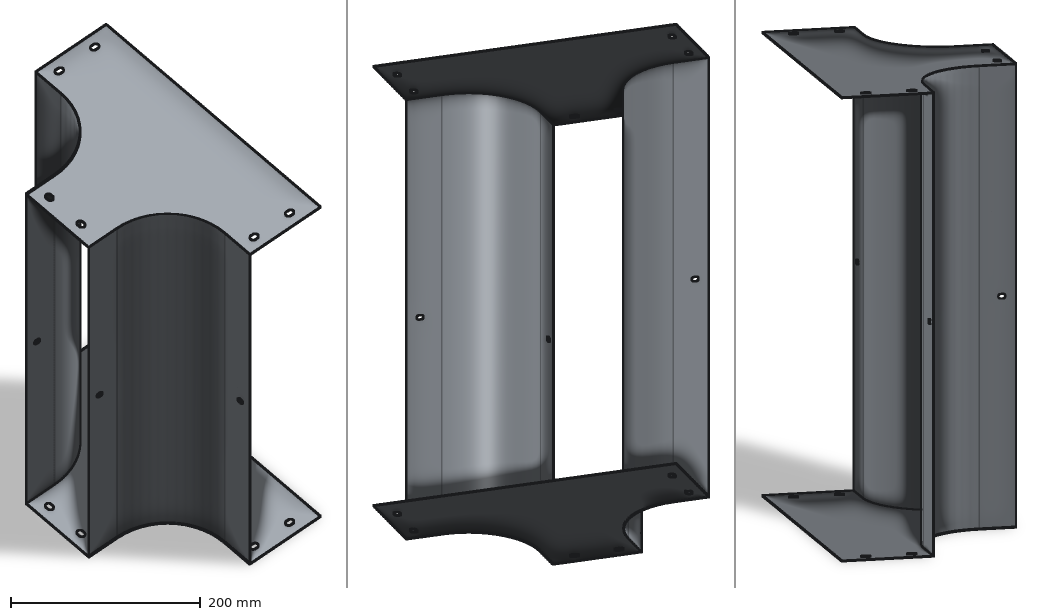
import cadquery as cq

height = 500.0
channel_width = 100.0
bend_radius = 80.0
straight_length = 40.0
thickness = 1.0

plate_slot_width = 7.0
plate_slot_length = 10.0
plate_slot_spacing = 50.0
plate_slot_shift = 5.0

wall_slot_width = 5.0
wall_slot_length = 7.5

end_distance = 15.5

half_stem = channel_width / 2
half_length = half_stem + bend_radius + straight_length
arm_front = -channel_width
stem_end = arm_front - bend_radius - straight_length
bend_x = half_stem + bend_radius
bend_y = arm_front - bend_radius
slot_x = half_length - end_distance
slot_y = stem_end + end_distance


def make_plate(bottom_z):
    """T-shaped plate with concave round corners."""
    profile = (
        cq.Workplane("XY", origin=(0, 0, bottom_z))
        .moveTo(-half_length, 0)
        .lineTo(half_length, 0)
        .lineTo(half_length, arm_front)
        .lineTo(bend_x, arm_front)
        .radiusArc((half_stem, bend_y), -bend_radius)
        .lineTo(half_stem, stem_end)
        .lineTo(-half_stem, stem_end)
        .lineTo(-half_stem, bend_y)
        .radiusArc((-bend_x, arm_front), -bend_radius)
        .lineTo(-half_length, arm_front)
        .close()
    )
    return profile.extrude(thickness)


def make_wall(side):
    """Full-height curved wall; side is +1 for the +X wall and -1 for the -X wall."""
    inner_radius = bend_radius + thickness
    profile = (
        cq.Workplane("XY")
        .moveTo(side * half_length, arm_front)
        .lineTo(side * bend_x, arm_front)
        .radiusArc((side * half_stem, bend_y), -side * bend_radius)
        .lineTo(side * half_stem, stem_end)
        .lineTo(side * (half_stem - thickness), stem_end)
        .lineTo(side * (half_stem - thickness), bend_y)
        .radiusArc((side * bend_x, arm_front + thickness), side * inner_radius)
        .lineTo(side * half_length, arm_front + thickness)
        .close()
    )
    return profile.extrude(height)


def make_plate_slots():
    """Cutters through both plates: a pair at each of the three open ends."""
    arm_centre = arm_front / 2 - plate_slot_shift
    half_spacing = plate_slot_spacing / 2
    arm_points = [
        (x, arm_centre + offset)
        for x in (-slot_x, slot_x)
        for offset in (-half_spacing, half_spacing)
    ]
    stem_points = [(offset - plate_slot_shift, slot_y) for offset in (-half_spacing, half_spacing)]
    arm_slots = (
        cq.Workplane("XY")
        .pushPoints(arm_points)
        .slot2D(plate_slot_length, plate_slot_width, 90)
        .extrude(height)
    )
    stem_slots = (
        cq.Workplane("XY")
        .pushPoints(stem_points)
        .slot2D(plate_slot_length, plate_slot_width)
        .extrude(height)
    )
    return arm_slots.union(stem_slots)


def make_wall_slots():
    """Cutters at mid height through the flat walls of the arm and the stem."""
    arm_slots = (
        cq.Workplane("XZ", origin=(0, arm_front, height / 2))
        .pushPoints([(-slot_x, 0), (slot_x, 0)])
        .slot2D(wall_slot_length, wall_slot_width)
        .extrude(2 * thickness, both=True)
    )
    stem_slots = (
        cq.Workplane("YZ", origin=(0, slot_y, height / 2))
        .slot2D(wall_slot_length, wall_slot_width)
        .extrude(channel_width, both=True)
    )
    return arm_slots.union(stem_slots)


shell = make_plate(0).union(make_plate(height - thickness))
for wall_side in (-1, 1):
    shell = shell.union(make_wall(wall_side))

result = shell.cut(make_plate_slots()).cut(make_wall_slots())